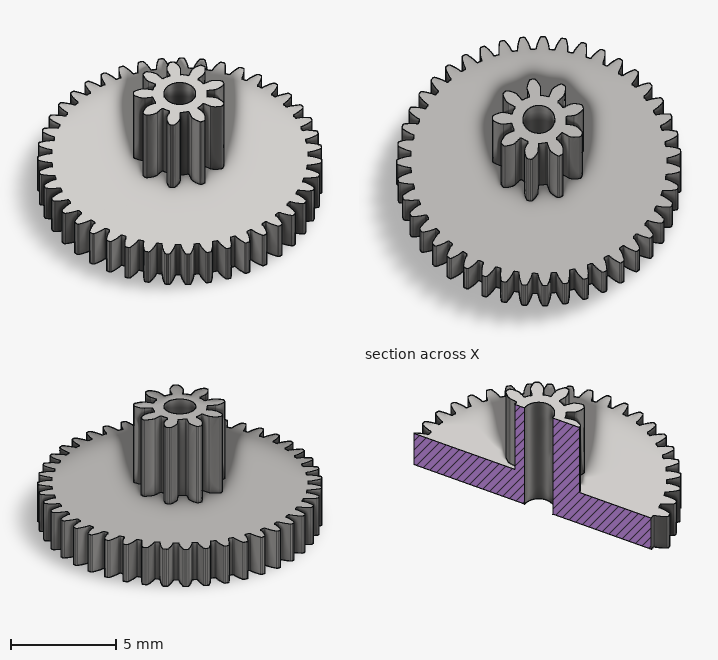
import cadquery as cq
import math

wheel_teeth = 43
wheel_width = 13.49
tip_allowance = 0.007
wheel_tip_diameter = wheel_width + tip_allowance
wheel_height = 2.0
wheel_phase = 2.9

pinion_teeth = 9
pinion_tip_diameter = 4.4
pinion_phase = 10.8

total_height = 6.1
bore_diameter = 1.51

pressure_angle = math.radians(20)
dedendum_factor = 1.25
tip_round = 0.1
root_round = 0.05
flank_points = 7
match_tolerance = 0.001

wedge_thickness = 0.13
side_limit = 0.75


def polar(radius, angle):
    return (radius * math.cos(angle), radius * math.sin(angle))


def axis_distance(edge):
    centre = edge.Center()
    return math.hypot(centre.x, centre.y)


def involute_angle(pressure):
    return math.tan(pressure) - pressure


def round_corners(sector, corner_radius, fillet_radius, corner_half_angle):
    """Fillet the two vertical edges at corner_radius and +/- corner_half_angle from +X."""
    corner_y = corner_radius * math.sin(corner_half_angle)

    def is_corner(edge):
        on_circle = abs(axis_distance(edge) - corner_radius) < match_tolerance
        return on_circle and abs(abs(edge.Center().y) - corner_y) < match_tolerance

    return sector.edges("|Z").filter(is_corner).fillet(fillet_radius)


def tooth_outline(teeth, tip_diameter):
    """Edges of one rounded involute tooth centred on +X, with half a gap on either side.

    Below the base circle the flanks run radially.
    """
    module = tip_diameter / (teeth + 2)
    pitch_radius = module * teeth / 2
    tip_radius = tip_diameter / 2
    root_radius = pitch_radius - dedendum_factor * module
    base_radius = pitch_radius * math.cos(pressure_angle)
    half_pitch = math.pi / teeth
    base_half_angle = half_pitch / 2 + involute_angle(pressure_angle)

    flank_start = max(base_radius, root_radius)
    flank = []
    for i in range(flank_points):
        radius = flank_start + (tip_radius - flank_start) * i / (flank_points - 1)
        half_angle = base_half_angle - involute_angle(math.acos(base_radius / radius))
        flank.append((radius, half_angle))
    root_half_angle = flank[0][1]
    tip_half_angle = flank[-1][1]
    gap_angle = (root_half_angle + half_pitch) / 2

    rising = [polar(radius, -angle) for radius, angle in flank]
    falling = [polar(radius, angle) for radius, angle in reversed(flank)]
    has_radial_flank = root_radius < base_radius

    sector = cq.Workplane("XY").lineTo(*polar(root_radius, -half_pitch))
    sector = sector.threePointArc(polar(root_radius, -gap_angle), polar(root_radius, -root_half_angle))
    if has_radial_flank:
        sector = sector.lineTo(*rising[0])
    sector = sector.spline(rising[1:], includeCurrent=True)
    sector = sector.threePointArc((tip_radius, 0), falling[0])
    sector = sector.spline(falling[1:], includeCurrent=True)
    if has_radial_flank:
        sector = sector.lineTo(*polar(root_radius, root_half_angle))
    sector = sector.threePointArc(polar(root_radius, gap_angle), polar(root_radius, half_pitch))
    sector = sector.close().extrude(wedge_thickness)
    sector = round_corners(sector, tip_radius, tip_round, tip_half_angle)
    sector = round_corners(sector, root_radius, root_round, root_half_angle)

    bottom_edges = sector.faces("<Z").edges().vals()
    return [edge for edge in bottom_edges if axis_distance(edge) > side_limit * root_radius]


def spur_gear(teeth, tip_diameter, height, phase):
    """Gear standing on Z = 0 with its bore open, made from one tooth repeated round the axis."""
    outline = tooth_outline(teeth, tip_diameter)
    edges = []
    for index in range(teeth):
        angle = phase + index * 360 / teeth
        edges += [edge.rotate(cq.Vector(0, 0, 0), cq.Vector(0, 0, 1), angle) for edge in outline]
    profile = cq.Wire.combine(edges, match_tolerance)[0]
    bore = cq.Wire.makeCircle(bore_diameter / 2, cq.Vector(0, 0, 0), cq.Vector(0, 0, 1))
    gear = cq.Solid.extrudeLinear(profile, [bore], cq.Vector(0, 0, height))
    return cq.Workplane(obj=gear)


wheel = spur_gear(wheel_teeth, wheel_tip_diameter, wheel_height, wheel_phase)
pinion_height = total_height - wheel_height
pinion = spur_gear(pinion_teeth, pinion_tip_diameter, pinion_height, pinion_phase)

result = wheel.union(pinion.translate((0, 0, wheel_height)))